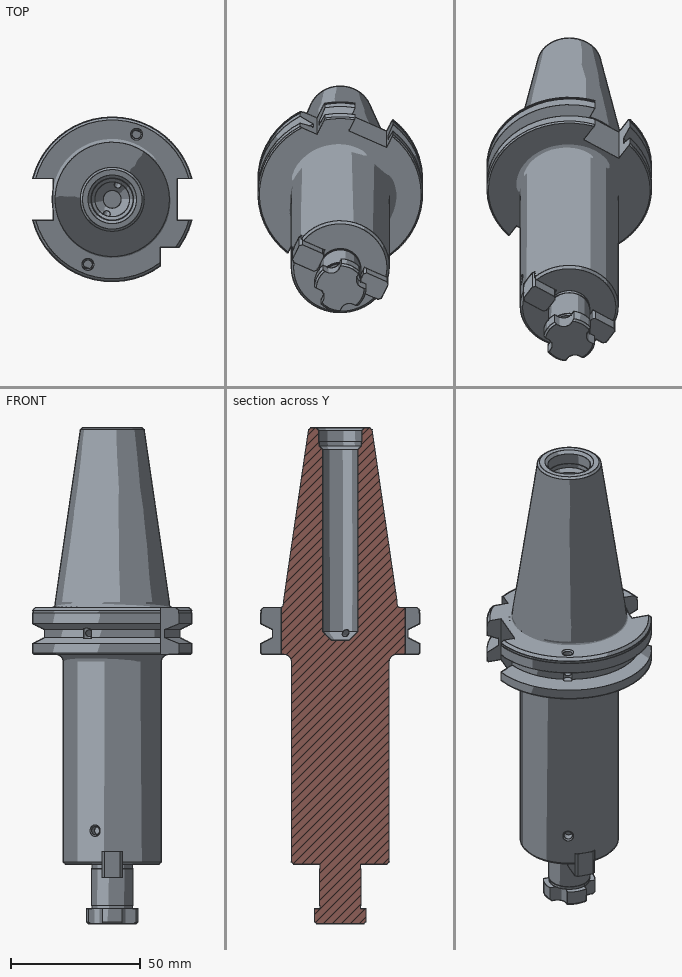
import cadquery as cq
import math


taper_length = 68.3
overall_length = 191.4
land_top = 1.0
flange_top = -1.0
flange_bottom = -19.1
nose_z = -100.1
pilot_length = 17.0
bottom_z = taper_length - overall_length
head_top = nose_z - pilot_length

gauge_radius = 44.5 / 2
taper_slope = 7 / 48
tip_radius = gauge_radius - taper_length * taper_slope
land_radius = gauge_radius - land_top * taper_slope
tip_chamfer = 0.8
land_fillet = 1.1

flange_radius = 63.5 / 2
flange_top_chamfer = 1.1
flange_bottom_chamfer = 0.5
ring_depth = 0.2
ring_width = 1.0
groove_z = -11.1
groove_floor_radius = 27.4
groove_half_width = 3.8
groove_floor_half_width = 1.5

slot_width = 16.0
left_slot_floor = 22.8
right_slot_floor = 25.0
notch_offset = 18.5

body_radius = 19.0
body_fillet = 2.9
body_chamfer = 1.0
pilot_radius = 8.0
relief_depth = 0.2
upper_relief_height = 1.5
lower_relief_height = 1.1
key_width = 8.0
key_height = 10.0
key_inner = 8.5
key_chamfer = 1.0

head_radius = 10.0
head_chamfer = 0.8
lobe_half_width = 3.8
notch_fillet = 3.5

bore_chamfer = 1.1
counterbore_radius = 8.2
shoulder_depth = 7.0
step_radius = 8.0
step_depth = 5.4
bore_radius = 6.7
bore_floor_radius = 3.5
bore_floor_z = -13.5

port_angle = 20.5
port_circle = 26.8
port_diameter = 3.5
port_chamfer = 0.5
port_floor = -13.0
passage_diameter = 2.7
passage_z = -11.0
side_port_z = -87.0
side_port_depth = 3.8
side_port_diameter = 3.3
side_port_chamfer = 0.5


def revolve_profile(sketch):
    """Revolve a closed radius-height outline about the Z axis."""
    return sketch.close().revolve(360, (0, 0, 0), (0, 1, 0))


def arbor_body():
    """Shank, flange, body, pilot and screw head turned in one piece."""
    bend = math.sqrt(0.5)
    land_centre = (land_radius + land_fillet, flange_top + land_fillet)
    ring_top = flange_top - flange_top_chamfer
    body_centre = (body_radius + body_fillet, flange_bottom - body_fillet)
    outline = (
        cq.Workplane("XZ")
        .moveTo(0, taper_length)
        .lineTo(tip_radius - tip_chamfer, taper_length)
        .lineTo(tip_radius + tip_chamfer * taper_slope, taper_length - tip_chamfer)
        .lineTo(land_radius, land_top)
        .lineTo(land_radius, land_centre[1])
        .threePointArc(
            (land_centre[0] - land_fillet * bend, land_centre[1] - land_fillet * bend),
            (land_centre[0], flange_top),
        )
        .lineTo(flange_radius - flange_top_chamfer, flange_top)
        .lineTo(flange_radius, ring_top)
        .lineTo(flange_radius - ring_depth, ring_top)
        .lineTo(flange_radius - ring_depth, ring_top - ring_width)
        .lineTo(flange_radius, ring_top - ring_width)
        .lineTo(flange_radius, groove_z + groove_half_width)
        .lineTo(groove_floor_radius, groove_z + groove_floor_half_width)
        .lineTo(groove_floor_radius, groove_z - groove_floor_half_width)
        .lineTo(flange_radius, groove_z - groove_half_width)
        .lineTo(flange_radius, flange_bottom + flange_bottom_chamfer)
        .lineTo(flange_radius - flange_bottom_chamfer, flange_bottom)
        .lineTo(body_centre[0], flange_bottom)
        .threePointArc(
            (body_centre[0] - body_fillet * bend, body_centre[1] + body_fillet * bend),
            (body_radius, body_centre[1]),
        )
        .lineTo(body_radius, nose_z + body_chamfer)
        .lineTo(body_radius - body_chamfer, nose_z)
        .lineTo(pilot_radius - relief_depth, nose_z)
        .lineTo(pilot_radius - relief_depth, nose_z - upper_relief_height)
        .lineTo(pilot_radius, nose_z - upper_relief_height - relief_depth)
        .lineTo(pilot_radius, head_top + lower_relief_height)
        .lineTo(pilot_radius - relief_depth, head_top + lower_relief_height)
        .lineTo(pilot_radius - relief_depth, head_top)
        .lineTo(head_radius, head_top)
        .lineTo(head_radius, bottom_z + head_chamfer)
        .lineTo(head_radius - head_chamfer, bottom_z)
        .lineTo(0, bottom_z)
    )
    return revolve_profile(outline)


def shank_bore():
    """Chamfered, stepped counterbore leading into a bore with a conical end."""
    shoulder_z = taper_length - shoulder_depth
    outline = (
        cq.Workplane("XZ")
        .moveTo(0, taper_length)
        .lineTo(counterbore_radius + bore_chamfer, taper_length)
        .lineTo(counterbore_radius, taper_length - bore_chamfer)
        .lineTo(counterbore_radius, taper_length - step_depth)
        .lineTo(step_radius, taper_length - step_depth)
        .lineTo(step_radius, shoulder_z)
        .lineTo(bore_radius, shoulder_z - (step_radius - bore_radius))
        .lineTo(bore_radius, bore_floor_z + (bore_radius - bore_floor_radius))
        .lineTo(bore_floor_radius, bore_floor_z)
        .lineTo(0, bore_floor_z)
    )
    return revolve_profile(outline)


def flange_cut(x_range, y_range):
    """Rectangular cut through the full height of the flange."""
    return (
        cq.Workplane("XY", origin=(0, 0, flange_bottom))
        .moveTo(x_range[0], y_range[0])
        .lineTo(x_range[1], y_range[0])
        .lineTo(x_range[1], y_range[1])
        .lineTo(x_range[0], y_range[1])
        .close()
        .extrude(flange_top - flange_bottom)
    )


def key_block():
    """Plain block of the key's plan size on the -Y side, centred on the nose face."""
    return cq.Workplane("XY", origin=(0, -(key_inner + body_radius) / 2, nose_z)).box(
        key_width, body_radius - key_inner, key_height
    )


def drive_key():
    """Key with chamfered upright edges, half sunk into the body."""
    return key_block().edges("|Z").chamfer(key_chamfer)


def head_notch():
    """Rounded corner notch of the screw head, in the +X +Y quadrant."""
    size = head_radius - lobe_half_width
    return (
        cq.Workplane("XY", origin=(lobe_half_width, lobe_half_width, bottom_z))
        .rect(size, size, centered=False)
        .extrude(head_top - bottom_z)
        .edges("|Z and <X and <Y")
        .fillet(notch_fillet)
    )


def port_hole(diameter, depth, chamfer):
    """Blind hole below the XY plane with a chamfered mouth at the origin."""
    hole = cq.Workplane("XY").circle(diameter / 2).extrude(-depth)
    mouth = cq.Workplane("XY").circle(diameter / 2 + chamfer).extrude(-chamfer, taper=45)
    return hole.union(mouth)


def coolant_port():
    """Flange port, its passage to the bore and the side port, all on the -Y side."""
    flange_port = port_hole(port_diameter, flange_top - port_floor, port_chamfer)
    flange_port = flange_port.translate((0, -port_circle, flange_top))
    passage = (
        cq.Workplane("XZ", origin=(0, 0, passage_z))
        .circle(passage_diameter / 2)
        .extrude(port_circle)
    )
    side_port = (
        port_hole(side_port_diameter, side_port_depth, side_port_chamfer)
        .rotate((0, 0, 0), (1, 0, 0), 90)
        .translate((0, -body_radius, side_port_z))
    )
    return flange_port.union(passage).union(side_port)


def turned(shape, angle):
    """Shape turned about the Z axis, anticlockwise seen from above."""
    return shape.rotate((0, 0, 0), (0, 0, 1), angle)


result = arbor_body().cut(shank_bore())

slot_range = (-slot_width / 2, slot_width / 2)
result = result.cut(flange_cut((-flange_radius, -left_slot_floor), slot_range))
result = result.cut(flange_cut((right_slot_floor, flange_radius), slot_range))
result = result.cut(flange_cut((notch_offset, flange_radius), (-flange_radius, -notch_offset)))

for half_turn in (0, 180):
    result = result.cut(turned(key_block(), half_turn))
    result = result.union(turned(drive_key(), half_turn))
    result = result.cut(turned(coolant_port(), half_turn - port_angle))

for quarter_turn in (0, 90, 180, 270):
    result = result.cut(turned(head_notch(), quarter_turn))